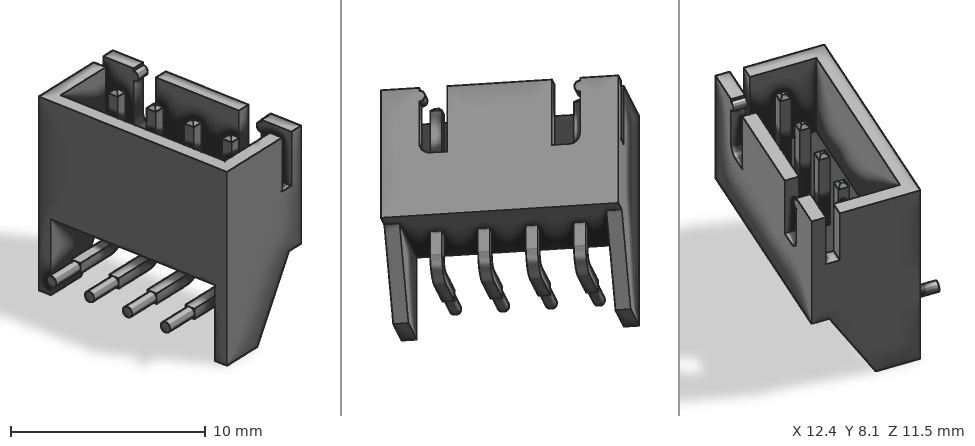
import cadquery as cq


width = 12.4
depth = 6.1
height = 11.5
wall = 0.8
box_height = 7.0
floor_thickness = 2.0
box_bottom = height - box_height
leg_foot_depth = 2.5
leg_rear_inset = 1.0

side_slot_width = 0.78
side_slot_depth = 3.2
finger_width = 2.0
rear_slot_width = 1.47
rear_slot_depth = 3.6
finger_root_radius = 0.6
latch_radius = 0.3
latch_drop = 0.45

pin_count = 4
pin_pitch = 2.5
pin_size = 0.62
pin_y = 3.36
pin_shoulder_drop = 0.4
pin_tip_height = 0.2
pin_tip_size = 0.2
pin_tail_z = 2.3
pin_tail_length = 2.0
bend_inner_radius = 0.6


def centred_box(size_x, y_start, y_end, z_start, z_end):
    """Box centred on X, spanning the given Y and Z ranges."""
    return (
        cq.Workplane("XY", origin=(0, 0, z_start))
        .rect(size_x, y_end - y_start)
        .extrude(z_end - z_start)
        .translate((0, (y_start + y_end) / 2, 0))
    )


def make_housing():
    """Open-topped box standing on two tapered side legs."""
    side_outline = [
        (0, 0),
        (leg_foot_depth, 0),
        (depth - leg_rear_inset, box_bottom),
        (depth, box_bottom),
        (depth, height),
        (0, height),
    ]
    body = cq.Workplane("YZ").polyline(side_outline).close().extrude(width / 2, both=True)
    inner_width = width - 2 * wall
    cavity = centred_box(inner_width, wall, depth - wall, box_bottom + floor_thickness, height)
    leg_gap = centred_box(inner_width, 0, depth, 0, box_bottom)
    return body.cut(cavity).cut(leg_gap)


def make_side_slots():
    """Slot through both side walls, just in front of the rear wall."""
    slot_rear = depth - wall
    return centred_box(width, slot_rear - side_slot_width, slot_rear, height - side_slot_depth, height)


def make_rear_slot():
    """Slot beside the left finger, rounded at the root of the finger."""
    finger_edge = finger_width - width / 2
    slot_bottom = height - rear_slot_depth
    return (
        cq.Workplane("XZ", origin=(0, depth, 0))
        .moveTo(finger_edge, height)
        .lineTo(finger_edge, slot_bottom + finger_root_radius)
        .radiusArc((finger_edge + finger_root_radius, slot_bottom), -finger_root_radius)
        .lineTo(finger_edge + rear_slot_width, slot_bottom)
        .lineTo(finger_edge + rear_slot_width, height)
        .close()
        .extrude(wall)
    )


def make_latch():
    """Round bead along the slot edge of the left finger."""
    return (
        cq.Workplane("XZ", origin=(0, depth, 0))
        .center(finger_width - width / 2, height - latch_drop)
        .circle(latch_radius)
        .extrude(wall)
    )


def with_mirror(left_shape):
    """The shape together with its mirror image on the other side of X = 0."""
    return left_shape.union(left_shape.mirror("YZ"))


def make_pin(x):
    """Square pin with a blunt tip, bent forward and ending in a round tail."""
    shoulder_z = height - pin_shoulder_drop
    bend_radius = bend_inner_radius + pin_size / 2
    path = (
        cq.Workplane("YZ", origin=(x, 0, 0))
        .moveTo(pin_y, shoulder_z)
        .lineTo(pin_y, pin_tail_z + bend_radius)
        .radiusArc((pin_y - bend_radius, pin_tail_z), bend_radius)
        .lineTo(0, pin_tail_z)
    )
    post = cq.Workplane("XY", origin=(x, pin_y, shoulder_z)).rect(pin_size, pin_size).sweep(path)
    tip = (
        cq.Workplane("XY", origin=(x, pin_y, shoulder_z))
        .rect(pin_size, pin_size)
        .workplane(offset=pin_tip_height)
        .rect(pin_tip_size, pin_tip_size)
        .loft()
    )
    tail = (
        cq.Workplane("XZ", origin=(x, 0, pin_tail_z))
        .circle(pin_size / 2)
        .extrude(pin_tail_length)
    )
    return post.union(tip).union(tail)


result = make_housing().cut(make_side_slots())
result = result.cut(with_mirror(make_rear_slot())).union(with_mirror(make_latch()))
for index in range(pin_count):
    result = result.union(make_pin((index - (pin_count - 1) / 2) * pin_pitch))